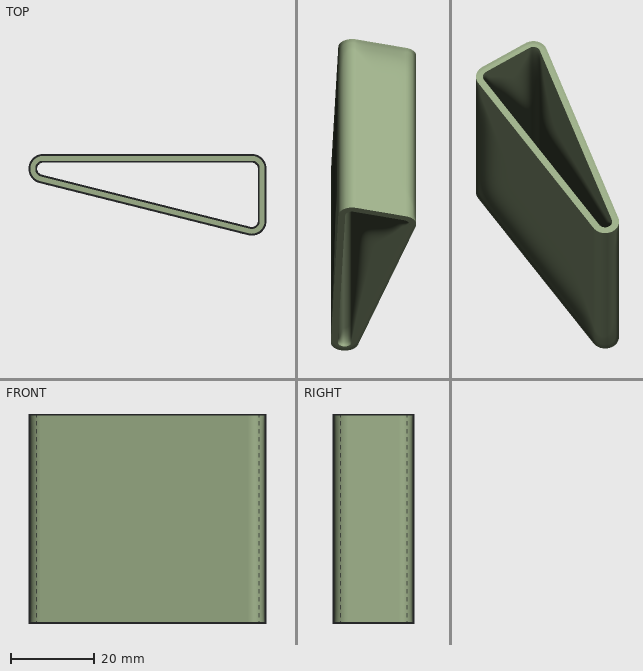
import cadquery as cq

center_span_x = 50.0
center_span_y = 12.5
wall = 1.67
inner_radius = 1.67
height = 50.0

outer_radius = inner_radius + wall

corner_centers = [
    (0, 0),
    (center_span_x, 0),
    (center_span_x, -center_span_y),
]


def rounded_prism(corner_radius):
    """Extrude the triangle of corner centres, grown outward by the corner radius."""
    return (
        cq.Workplane("XY")
        .polyline(corner_centers)
        .close()
        .offset2D(corner_radius, "arc")
        .extrude(height)
    )


result = rounded_prism(outer_radius).cut(rounded_prism(inner_radius))